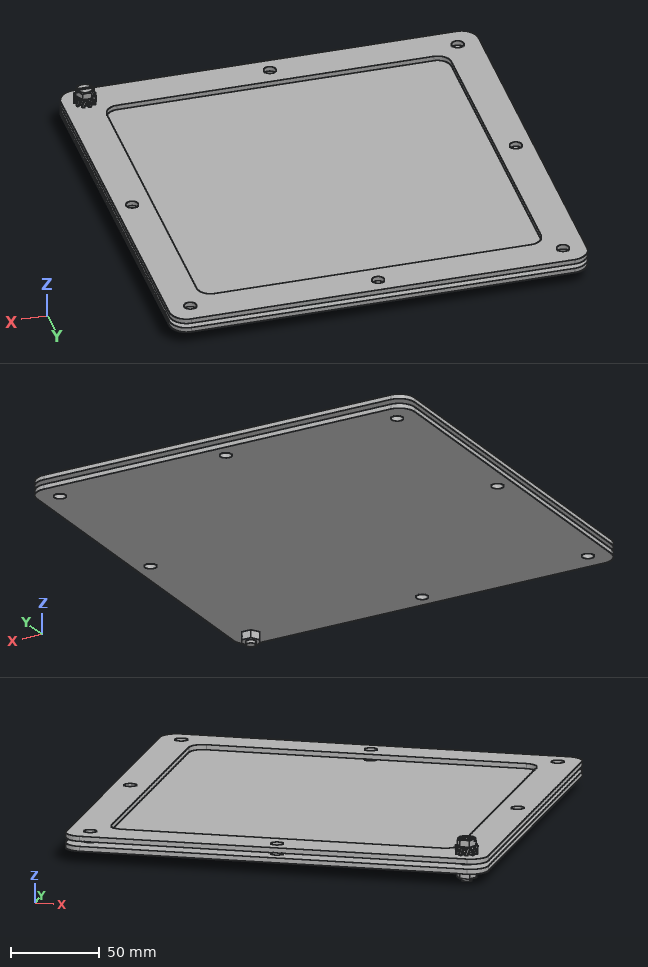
import cadquery as cq
import math

side = 244.5
corner_radius = 10.0
plate_thickness = 3.0
plate_gap = 3.0
opening_side = 201.5
opening_radius = 8.0
hole_diameter = 7.0
corner_hole_offset = 109.0
edge_hole_offset = 112.2

shank_diameter = 5.9
hex_sides = 6
head_across_flats = 9.5
nut_across_flats = 10.0
head_top_diameter = 8.8
head_chamfer_height = 0.7
nut_height = 5.0
shank_protrusion = 2.0
head_height = 4.5
slot_width = 1.5
slot_depth = 1.7

washer_outer_diameter = 12.7
washer_inner_diameter = 6.4
washer_ring_diameter = 11.2
washer_height = 4.6
washer_thickness = 1.5
tooth_count = 10
tooth_width = 5.0
tooth_embed = 1.7
tooth_twist = 70

tooth_root_radius = washer_ring_diameter / 2 - tooth_embed
frame_bottom = plate_thickness + plate_gap
frame_top = frame_bottom + plate_thickness
head_bottom = frame_top + washer_height
head_top = head_bottom + head_height
shank_end = -nut_height - shank_protrusion
head_across_corners = head_across_flats * 2 / math.sqrt(3)
nut_across_corners = nut_across_flats * 2 / math.sqrt(3)
bolt_x, bolt_y = corner_hole_offset, -corner_hole_offset


def at_bolt(z):
    return cq.Workplane("XY").workplane(offset=z).center(bolt_x, bolt_y)


def make_plate(z):
    corner = corner_hole_offset
    edge = edge_hole_offset
    holes = [(x, y) for x in (-corner, corner) for y in (-corner, corner)]
    holes += [(-edge, 0), (edge, 0), (0, -edge), (0, edge)]
    plate = cq.Workplane("XY").workplane(offset=z).rect(side, side).extrude(plate_thickness)
    plate = plate.edges("|Z").fillet(corner_radius)
    cutter = cq.Workplane("XY").workplane(offset=z).pushPoints(holes)
    return plate.cut(cutter.circle(hole_diameter / 2).extrude(plate_thickness))


def make_frame():
    opening = cq.Workplane("XY").workplane(offset=frame_bottom).rect(opening_side, opening_side)
    opening = opening.extrude(plate_thickness).edges("|Z").fillet(opening_radius)
    return make_plate(frame_bottom).cut(opening)


def make_screw():
    head = at_bolt(head_bottom).polygon(hex_sides, head_across_corners).extrude(head_height)

    rim = at_bolt(head_bottom).circle(head_across_corners / 2).extrude(head_height)
    rim = rim.faces(">Z").chamfer(head_chamfer_height, (head_across_corners - head_top_diameter) / 2)

    slot = at_bolt(head_top - slot_depth).rect(head_across_corners, slot_width).extrude(slot_depth)
    shank = at_bolt(shank_end).circle(shank_diameter / 2).extrude(head_bottom - shank_end)
    return head.intersect(rim).cut(slot).union(shank)


def make_washer():
    middle = frame_top + washer_height / 2
    ring = at_bolt(middle - washer_thickness / 2).circle(washer_ring_diameter / 2).extrude(washer_thickness)
    envelope = at_bolt(frame_top).circle(washer_outer_diameter / 2).extrude(washer_height)
    bore = at_bolt(frame_top).circle(washer_inner_diameter / 2).extrude(washer_height)

    blade = cq.Workplane("XY").box(washer_outer_diameter, tooth_width, washer_thickness)
    blade = blade.translate((tooth_root_radius + washer_outer_diameter / 2, 0, 0))
    blade = blade.rotate((0, 0, 0), (1, 0, 0), tooth_twist)
    washer = ring
    for i in range(tooth_count):
        tooth = blade.rotate((0, 0, 0), (0, 0, 1), i * 360 / tooth_count)
        washer = washer.union(tooth.translate((bolt_x, bolt_y, middle)))
    return washer.intersect(envelope).cut(bore)


def make_nut():
    blank = at_bolt(-nut_height).polygon(hex_sides, nut_across_corners)
    return blank.circle(shank_diameter / 2).extrude(nut_height)


base_plate = make_plate(0)
frame = make_frame()
screw = make_screw()
washer = make_washer()
nut = make_nut()
result = cq.Compound.makeCompound([base_plate.val(), frame.val(), screw.val(), washer.val(), nut.val()])